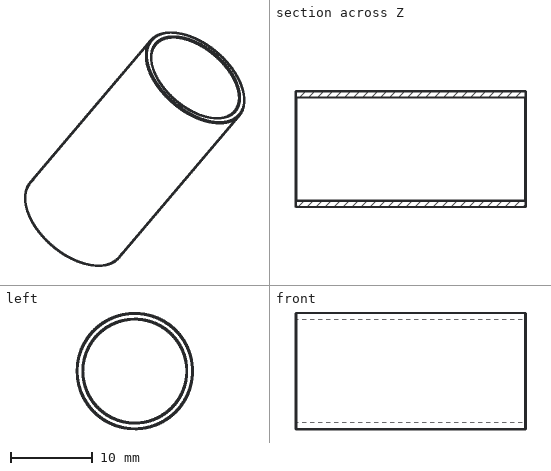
import cadquery as cq

length = 28.12
outer_diameter = 14.2
bore_diameter = 12.6
edge_chamfer = 0.1

sleeve = (
    cq.Workplane("YZ", origin=(-length / 2, 0, 0))
    .circle(outer_diameter / 2)
    .circle(bore_diameter / 2)
    .extrude(length)
)

result = sleeve.faces("<X or >X").edges().chamfer(edge_chamfer)